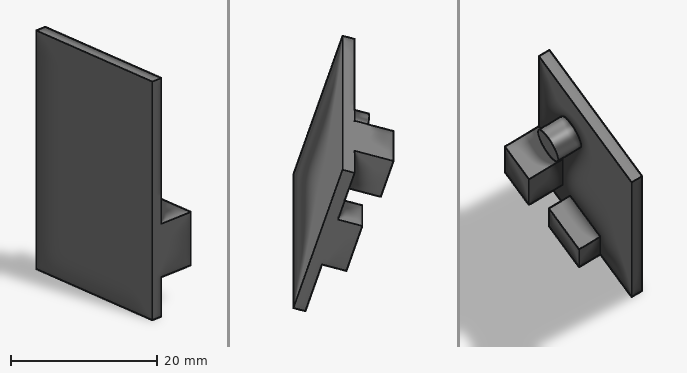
import cadquery as cq

board_width = 23.0
board_height = 36
board_thickness = 1.73
total_depth = 7.3

connector_width = 7.5
connector_height = 5.58
connector_depth = 3.5

block_width = 5.98
block_height = 8.05
block_bottom = 5.95
block_depth = total_depth - board_thickness

post_diameter = 5.0
post_length = 3.78
post_x = 15.0
post_z = 26.0


def box_at(x, y, z, width, depth, height):
    """Box with its lower front left corner at (x, y, z)."""
    return cq.Workplane("XY").box(width, depth, height, centered=False).translate((x, y, z))


board = box_at(0, 0, 0, board_width, board_thickness, board_height)

connector_x = (board_width - connector_width) / 2
connector = box_at(
    connector_x, board_thickness, 0, connector_width, connector_depth, connector_height
)

block_x = board_width - block_width
block = box_at(block_x, board_thickness, block_bottom, block_width, block_depth, block_height)

post = (
    cq.Workplane("XZ", origin=(post_x, board_thickness, post_z))
    .circle(post_diameter / 2)
    .extrude(-post_length)
)

result = board.union(connector).union(block).union(post)